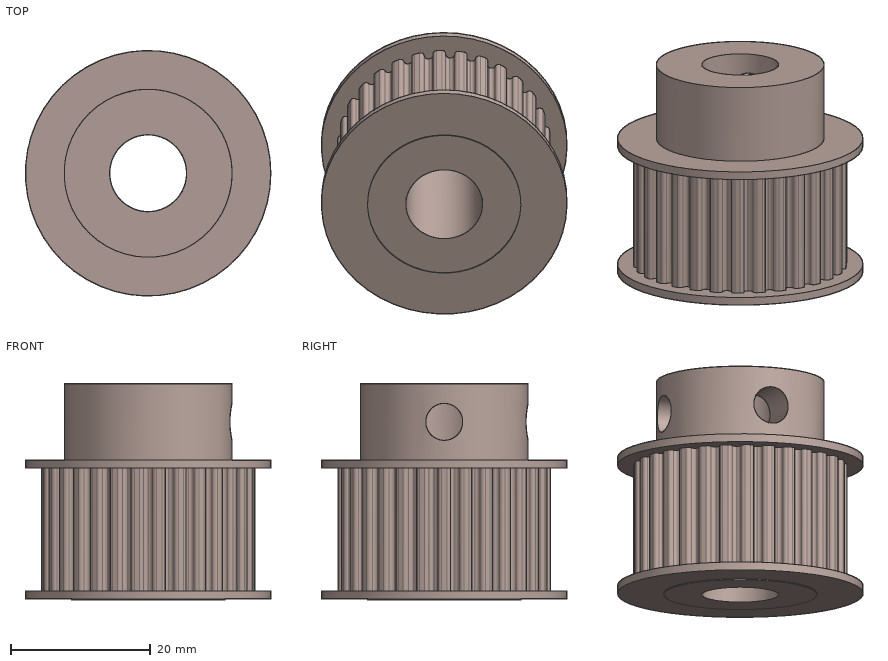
import cadquery as cq
import math


flange_diameter = 35.25
tooth_tip_diameter = 30.66
hub_diameter = 24.1
bottom_boss_diameter = 22.0
bore_diameter = 11.0

bottom_boss_height = 0.16
flange_thickness = 1.15
belt_width = 17.6
hub_height = 11.0

tooth_count = 30
root_flat_width = 0.1
root_corner_radius = 0.58
tooth_corner_radius = 0.55
groove_clearance = 0.5

set_screw_diameter = 5.3
set_screw_directions = [(1, 0, 0), (0, 1, 0)]

lower_flange_base = bottom_boss_height
belt_base = lower_flange_base + flange_thickness
upper_flange_base = belt_base + belt_width
hub_base = upper_flange_base + flange_thickness
total_height = hub_base + hub_height
set_screw_level = hub_base + hub_height / 2


def disc(diameter, base, height):
    """Solid cylinder on the pulley axis, standing on the level `base`."""
    return cq.Workplane("XY").workplane(offset=base).circle(diameter / 2).extrude(height)


def groove_cutter():
    """Tooth space centred on +X: a rounded root that flows into the two rounded tooth corners."""
    tip_radius = tooth_tip_diameter / 2
    half_flat = root_flat_width / 2
    half_width = half_flat + root_corner_radius
    corner_y = half_width + tooth_corner_radius
    corner_x = math.sqrt((tip_radius - tooth_corner_radius) ** 2 - corner_y**2)
    corner_angle = math.atan2(corner_y, corner_x)
    land_x = tip_radius * math.cos(corner_angle)
    land_y = tip_radius * math.sin(corner_angle)
    middle_angle = (corner_angle - math.pi / 2) / 2
    middle_x = corner_x + tooth_corner_radius * math.cos(middle_angle)
    middle_y = corner_y + tooth_corner_radius * math.sin(middle_angle)
    root_x = corner_x - root_corner_radius
    root_middle_x = corner_x - root_corner_radius * math.sqrt(0.5)
    root_middle_y = half_flat + root_corner_radius * math.sqrt(0.5)
    outside_x = tip_radius + groove_clearance

    return (
        cq.Workplane("XY")
        .workplane(offset=belt_base)
        .moveTo(corner_x, -half_width)
        .threePointArc((root_middle_x, -root_middle_y), (root_x, -half_flat))
        .lineTo(root_x, half_flat)
        .threePointArc((root_middle_x, root_middle_y), (corner_x, half_width))
        .threePointArc((middle_x, middle_y), (land_x, land_y))
        .lineTo(outside_x, land_y)
        .lineTo(outside_x, -land_y)
        .lineTo(land_x, -land_y)
        .threePointArc((middle_x, -middle_y), (corner_x, -half_width))
        .close()
        .extrude(belt_width)
    )


def toothed_section():
    """Belt-carrying drum with a tooth centred on +X."""
    pitch_angle = 360 / tooth_count
    cutter = groove_cutter()
    drum = disc(tooth_tip_diameter, belt_base, belt_width)
    for index in range(tooth_count):
        groove_angle = (index + 0.5) * pitch_angle
        drum = drum.cut(cutter.rotate((0, 0, 0), (0, 0, 1), groove_angle))
    return drum


def set_screw_hole(direction):
    """Radial cylinder from the pulley axis out through the hub wall."""
    start = cq.Vector(0, 0, set_screw_level)
    hole = cq.Solid.makeCylinder(set_screw_diameter / 2, hub_diameter, start, cq.Vector(*direction))
    return cq.Workplane(obj=hole)


pulley = toothed_section()
pulley = pulley.union(disc(bottom_boss_diameter, 0, bottom_boss_height))
pulley = pulley.union(disc(flange_diameter, lower_flange_base, flange_thickness))
pulley = pulley.union(disc(flange_diameter, upper_flange_base, flange_thickness))
pulley = pulley.union(disc(hub_diameter, hub_base, hub_height))
pulley = pulley.cut(disc(bore_diameter, 0, total_height))
for screw_direction in set_screw_directions:
    pulley = pulley.cut(set_screw_hole(screw_direction))

result = pulley